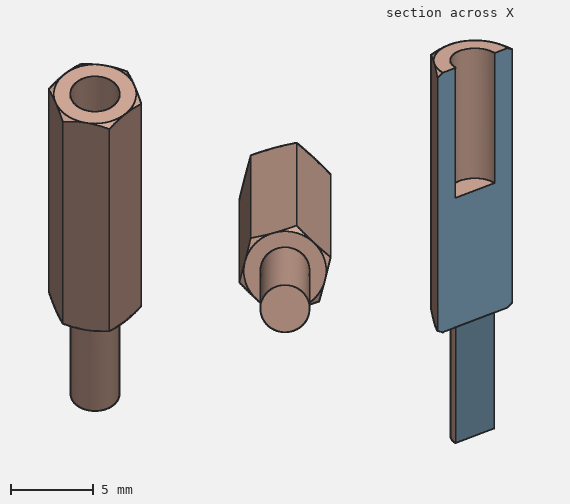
import cadquery as cq
import math

total_length = 26.0
stud_length = 8.0
body_length = total_length - stud_length

across_flats = 5.0
across_corners = across_flats / math.cos(math.pi / 6)
chamfer_angle = 30.0
chamfer_radial = (across_corners - across_flats) / 2
chamfer_height = chamfer_radial * math.tan(math.radians(chamfer_angle))

thread_diameter = 3.0
bore_depth = 9.0


def chamfer_envelope():
    """Turned profile that rounds off the hexagon's corners at both ends."""
    end_radius = across_flats / 2
    corner_radius = across_corners / 2
    top = total_length
    bottom = stud_length
    return (
        cq.Workplane("XZ")
        .moveTo(0, bottom)
        .lineTo(end_radius, bottom)
        .lineTo(corner_radius, bottom + chamfer_height)
        .lineTo(corner_radius, top - chamfer_height)
        .lineTo(end_radius, top)
        .lineTo(0, top)
        .close()
        .revolve(360, (0, 0, 0), (0, 1, 0))
    )


def make_hex_body():
    """Hexagonal spacer with corners on the Y axis and a blind bore from the top."""
    hexagon = (
        cq.Workplane("XY")
        .workplane(offset=stud_length)
        .transformed(rotate=(0, 0, 90))
        .polygon(6, across_corners)
        .extrude(body_length)
    )
    bore = (
        cq.Workplane("XY")
        .workplane(offset=total_length - bore_depth)
        .circle(thread_diameter / 2)
        .extrude(bore_depth)
    )
    return hexagon.intersect(chamfer_envelope()).cut(bore)


def make_stud():
    """Plain round stud that meets the lower face of the hexagonal body."""
    return cq.Workplane("XY").circle(thread_diameter / 2).extrude(stud_length)


hex_body = make_hex_body()
stud = make_stud()

result = cq.Compound.makeCompound([hex_body.val(), stud.val()])